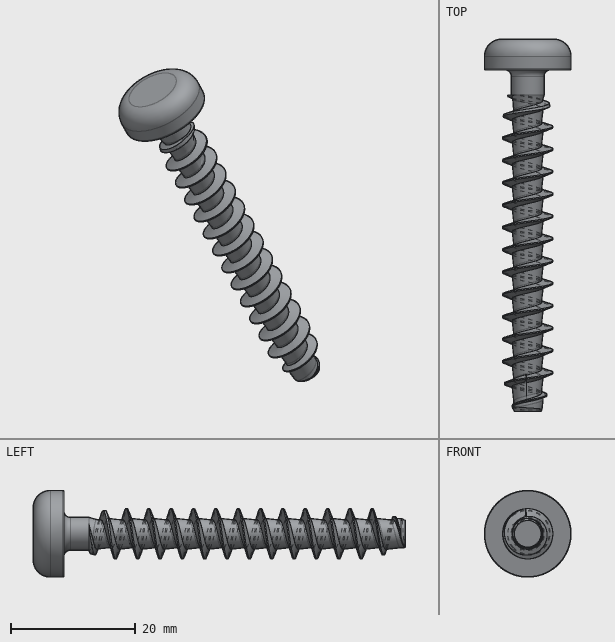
import cadquery as cq
import math


full_turn = 360.0

head_radius = 7.0
head_height = 5.0
head_dome_radius = 2.8
rim_taper_height = 0.25
rim_taper_depth = 0.08

length_under_head = 55.0
shank_radius = 2.67
shank_length = 4.0
neck_height = 1.0
neck_flare = 0.8

core_radius = 2.27
runout_length = 1.4
tip_radius = 2.15
tip_chamfer_slope = 0.5
core_overrun = 5.0

pitch = 3.6
crest_radius = 4.05
crest_width = 0.2
head_flank_angle = 15.0
tip_flank_angle = 20.0
root_radius = 2.5
root_slope_length = 2.1
root_overlap = 0.02
start_radius = 3.2
start_taper_length = 4.5
start_taper_slope = 0.22
taper_start = -49.7
taper_turns = 2
tip_taper_angle = 19.3
crest_position = -9.16


def flank_run(depth, angle):
    """Distance along the axis from the middle of the crest to a flank at a depth below it."""
    return crest_width / 2 + depth * math.tan(math.radians(angle))


inner_radius = core_radius - root_overlap
full_depth = crest_radius - inner_radius
head_base = flank_run(full_depth, head_flank_angle)
root_start = flank_run(crest_radius - root_radius, tip_flank_angle)
root_end = root_start + root_slope_length * (root_radius - inner_radius) / (root_radius - core_radius)


def tangent_arc_radius(radial, axial):
    """Radius of an arc tangent to the shank that spans the given rises."""
    return (axial**2 + radial**2) / (2 * radial)


def make_head():
    """Domed pan head with a slight taper at the bearing edge."""
    bearing_radius = head_radius - rim_taper_depth
    dome_start = head_height - head_dome_radius
    dome_center = head_radius - head_dome_radius
    diagonal = head_dome_radius * math.sqrt(0.5)
    return (
        cq.Workplane("XZ")
        .lineTo(bearing_radius, 0)
        .lineTo(head_radius, rim_taper_height)
        .lineTo(head_radius, dome_start)
        .threePointArc(
            (dome_center + diagonal, dome_start + diagonal),
            (dome_center, head_height),
        )
        .lineTo(0, head_height)
        .close()
        .revolve(full_turn, (0, 0, 0), (0, 1, 0))
    )


def make_shank():
    """Shank flared into the head, with a runout cone that tapers into the threaded core."""
    neck_radius = tangent_arc_radius(neck_flare, neck_height)
    runout_end = shank_length + runout_length
    return (
        cq.Workplane("XZ")
        .lineTo(shank_radius + neck_flare, 0)
        .radiusArc((shank_radius, -neck_height), -neck_radius)
        .lineTo(shank_radius, -shank_length)
        .lineTo(core_radius, -runout_end)
        .lineTo(0, -runout_end)
        .close()
        .revolve(full_turn, (0, 0, 0), (0, 1, 0))
    )


def sweep_helix(profile, height, radius, cone_angle=full_turn):
    """Sweep an XZ profile up a right-hand helix that starts at zero height on +X.

    The helix widens upwards by the cone angle; a full turn means a plain cylinder.
    """
    stretch = 1 / math.cos(math.radians(cone_angle))
    helix = cq.Wire.makeHelix(pitch * stretch, height * stretch, radius, angle=cone_angle)
    return profile.sweep(cq.Workplane(helix), isFrenet=True)


def full_profile():
    """Full-height ridge with the root that slopes from its tip-side foot into the core."""
    return (
        cq.Workplane("XZ")
        .moveTo(inner_radius, head_base)
        .lineTo(crest_radius, crest_width / 2)
        .lineTo(crest_radius, -crest_width / 2)
        .lineTo(root_radius, -root_start)
        .lineTo(inner_radius, -root_end)
        .close()
    )


def root_profile():
    """Sloping root alone, continued under the ridge."""
    return (
        cq.Workplane("XZ")
        .moveTo(inner_radius, 0)
        .lineTo(root_radius, 0)
        .lineTo(root_radius, -root_start)
        .lineTo(inner_radius, -root_end)
        .close()
    )


def ridge_profile(crest):
    """Ridge alone, with its crest at the given radius."""
    base = crest - full_depth
    return (
        cq.Workplane("XZ")
        .moveTo(base, head_base)
        .lineTo(crest, crest_width / 2)
        .lineTo(crest, -crest_width / 2)
        .lineTo(base, -flank_run(full_depth, tip_flank_angle))
        .close()
    )


def make_thread():
    """Core with its thread; the ridge spirals inwards near the tip."""
    turns = math.ceil(length_under_head / pitch)
    taper_height = taper_turns * pitch
    main_height = turns * pitch - taper_height
    end_crest = crest_radius - taper_height * math.tan(math.radians(tip_taper_angle))
    core = cq.Workplane("XY").workplane(offset=-core_overrun).circle(core_radius)
    core = core.extrude(turns * pitch + 2 * core_overrun)
    main_thread = sweep_helix(full_profile(), main_height, crest_radius).translate((0, 0, taper_height))
    tip_root = sweep_helix(root_profile(), taper_height, root_radius)
    tip_ridge = sweep_helix(ridge_profile(end_crest), taper_height, end_crest, tip_taper_angle)
    thread = core.union(main_thread).union(tip_root).union(tip_ridge)
    phase = full_turn * (taper_start - crest_position) / pitch
    return thread.rotate((0, 0, 0), (0, 0, 1), phase).translate((0, 0, taper_start - taper_height))


def make_thread_envelope():
    """Space the threaded section may fill: it tapers towards both ends."""
    clear_radius = start_radius + start_taper_length * start_taper_slope
    chamfer_length = (clear_radius - tip_radius) / tip_chamfer_slope
    return (
        cq.Workplane("XZ")
        .moveTo(0, -shank_length)
        .lineTo(start_radius, -shank_length)
        .lineTo(clear_radius, -shank_length - start_taper_length)
        .lineTo(clear_radius, chamfer_length - length_under_head)
        .lineTo(tip_radius, -length_under_head)
        .lineTo(0, -length_under_head)
        .close()
        .revolve(full_turn, (0, 0, 0), (0, 1, 0))
    )


screw = make_head().union(make_shank()).union(make_thread().intersect(make_thread_envelope()))
result = screw.rotate((0, 0, 0), (1, 0, 0), -full_turn / 4)